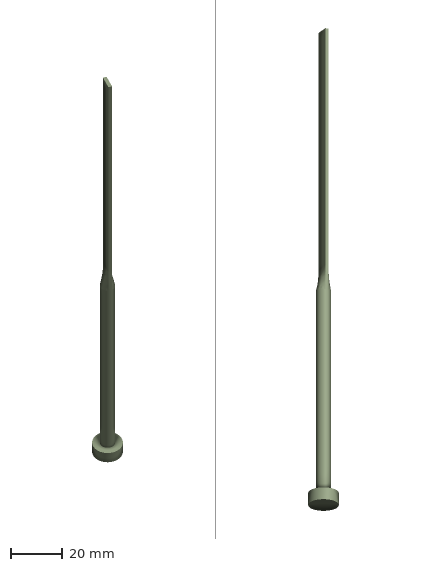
import cadquery as cq
import math

total_height = 200.0
head_height = 5.0
shaft_top = 90.0
blade_bottom = 100.0

head_diameter = 12.0
shaft_diameter = 6.0
blade_thickness = 1.5

shaft_radius = shaft_diameter / 2
blade_width = math.sqrt(shaft_diameter**2 - blade_thickness**2)
corner_x = blade_width / 2
corner_y = blade_thickness / 2


def make_stem():
    """Round head with the round shaft standing on it."""
    head = cq.Workplane("XY").circle(head_diameter / 2).extrude(head_height)
    shaft = cq.Workplane("XY").circle(shaft_radius).extrude(shaft_top)
    return head.union(shaft)


def make_transition():
    """Ruled taper from the shaft's circle to the blade's rectangle.

    The circle is split into four arcs at the blade's corners, so each arc
    is joined to one straight side of the rectangle.
    """
    return (
        cq.Workplane("XY", origin=(0, 0, shaft_top))
        .moveTo(-corner_x, -corner_y)
        .threePointArc((0, -shaft_radius), (corner_x, -corner_y))
        .threePointArc((shaft_radius, 0), (corner_x, corner_y))
        .threePointArc((0, shaft_radius), (-corner_x, corner_y))
        .threePointArc((-shaft_radius, 0), (-corner_x, -corner_y))
        .close()
        .workplane(offset=blade_bottom - shaft_top)
        .moveTo(-corner_x, -corner_y)
        .lineTo(corner_x, -corner_y)
        .lineTo(corner_x, corner_y)
        .lineTo(-corner_x, corner_y)
        .close()
        .loft(ruled=True, combine=False)
    )


def make_blade():
    """Flat blade running up to the tip."""
    return (
        cq.Workplane("XY", origin=(0, 0, blade_bottom))
        .rect(blade_width, blade_thickness)
        .extrude(total_height - blade_bottom)
    )


result = make_stem().union(make_transition()).union(make_blade())